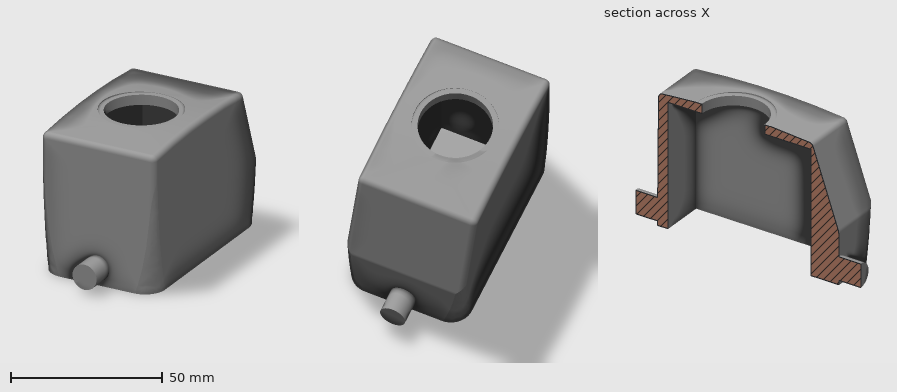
import cadquery as cq

width = 43.0
length = 72.7
height = 52.0
half_width = width / 2
half_length = length / 2

front_draft = 0.45
knee_draft = 0.2
knee_height = 20.2
slope_top_y = 25.6
shoulder_height = 50.4
crown_y = -5.9
knee_radius = 3.6
edge_radius = 2.0

corner_stations = [(0, 7.6), (15.3, 4.5), (32.4, 2.8), (54, 2.1)]

entry_radius = 12.5
seat_radius = 14.5
seat_depth = 0.45
cut_clearance = 0.9

side_wall = 4.95
front_wall = 4.5
cavity_back_y = 24.8
roof_thickness = 4.1

pin_radius = 4.545
pin_height = 6.2
pin_tip_y = 45.0


def hood_blank():
    """Extruded side profile with a crowned roof and a sloping back."""
    blank = (
        cq.Workplane("YZ")
        .moveTo(-half_length, 0)
        .lineTo(half_length, 0)
        .lineTo(half_length - knee_draft, knee_height)
        .lineTo(slope_top_y, shoulder_height)
        .threePointArc((crown_y, height), (-half_length + front_draft, shoulder_height))
        .close()
        .extrude(half_width, both=True)
    )
    knee_point = (0, half_length - knee_draft, knee_height)
    blank = blank.edges(cq.NearestToPointSelector(knee_point)).fillet(knee_radius)
    flank_edges = blank.faces("<X or >X").edges("not <Z")
    front_roof_edge = blank.edges(cq.NearestToPointSelector((0, -half_length, shoulder_height)))
    back_roof_edge = blank.edges(cq.NearestToPointSelector((0, slope_top_y, shoulder_height)))
    return flank_edges.add(front_roof_edge).add(back_roof_edge).fillet(edge_radius)


def corner_envelope():
    """Tower with rounded corners whose radius changes with height."""
    sections = []
    for station_height, radius in corner_stations:
        outline = (
            cq.Sketch().rect(width, length).vertices().fillet(radius)
            .moved(cq.Location(cq.Vector(0, 0, station_height)))
        )
        sections.append(outline)
    return cq.Workplane().placeSketch(*sections).loft()


def cavity():
    """Plain rectangular pocket reaching up to the underside of the roof."""
    cavity_front_y = -half_length + front_wall
    return cq.Workplane().box(
        width - 2 * side_wall,
        cavity_back_y - cavity_front_y,
        height - roof_thickness,
        centered=(True, False, False),
    ).translate((0, cavity_front_y, 0))


def cable_entry():
    """Round roof opening with a shallow flat seat around it."""
    opening = cq.Workplane().circle(entry_radius).extrude(height + cut_clearance)
    seat = (
        cq.Workplane(origin=(0, 0, height - seat_depth))
        .circle(seat_radius)
        .extrude(seat_depth + cut_clearance)
    )
    return opening.union(seat).translate((0, crown_y, 0))


def locking_pin(end_sign, root_y):
    """Pin from inside an end wall outwards; end_sign picks the +Y or -Y end."""
    return (
        cq.Workplane("XZ", origin=(0, end_sign * root_y, pin_height))
        .circle(pin_radius)
        .extrude(-end_sign * (pin_tip_y - root_y))
    )


pin_root_y = half_length - front_wall / 2
result = hood_blank().intersect(corner_envelope()).cut(cavity()).cut(cable_entry())
for end_sign in (1, -1):
    result = result.union(locking_pin(end_sign, pin_root_y))